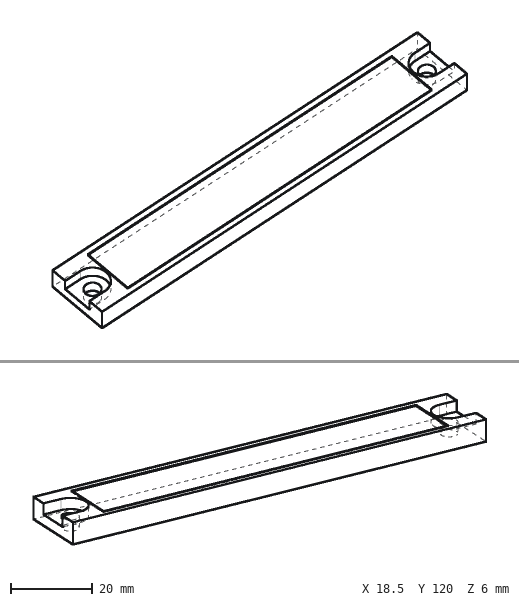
import cadquery as cq

length = 120.0
width = 18.5
height = 6.0

recess_length = 100.0
recess_width = 14.9
recess_depth = 0.2

seat_width = 9.0
seat_depth = 3.0
hole_diameter = 4.5
hole_inset = 5.0

hole_y = length / 2 - hole_inset
seat_floor = height - seat_depth


def make_bar():
    """Rectangular bar standing on Z = 0."""
    return cq.Workplane("XY").box(width, length, height, centered=(True, True, False))


def make_label_recess():
    """Cutter for the shallow rectangular recess."""
    return (
        cq.Workplane("XY", origin=(0, 0, height - recess_depth))
        .rect(recess_width, recess_length)
        .extrude(recess_depth)
    )


def make_screw_seat(end):
    """Cutter for a round-nosed open seat and its through hole; end is +1 or -1 along Y."""
    seat_plane = cq.Workplane("XY", origin=(0, end * hole_y, seat_floor))
    nose = seat_plane.circle(seat_width / 2).extrude(seat_depth)
    channel = (
        seat_plane.center(0, end * hole_inset / 2)
        .rect(seat_width, hole_inset)
        .extrude(seat_depth)
    )
    hole = (
        cq.Workplane("XY", origin=(0, end * hole_y, 0))
        .circle(hole_diameter / 2)
        .extrude(height)
    )
    return nose.union(channel).union(hole)


result = make_bar().cut(make_label_recess())
for end in (-1, 1):
    result = result.cut(make_screw_seat(end))